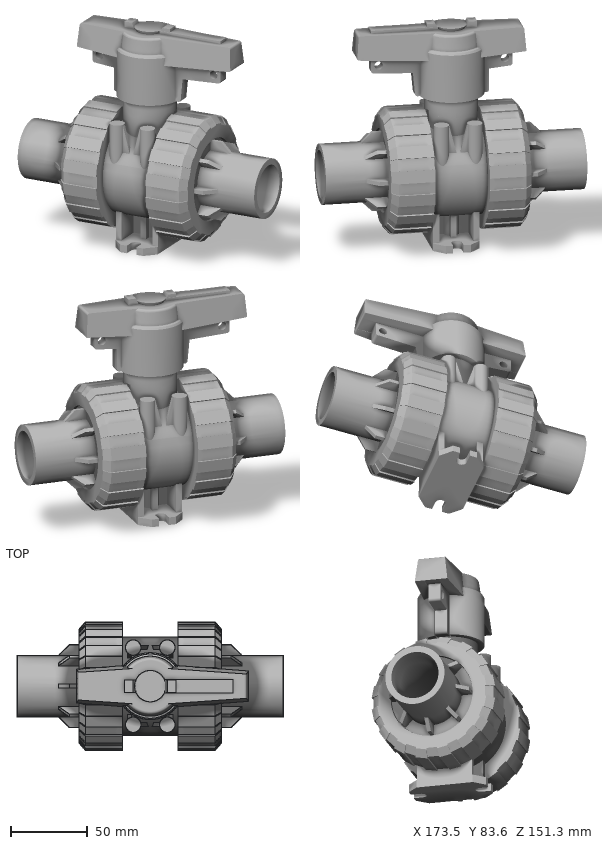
import cadquery as cq
import math


LENGTH = 173.5
HALF_LENGTH = LENGTH / 2
BORE_RADIUS = 16.0

BARREL_RADIUS = 32.1
BARREL_HALF_LENGTH = 34.7
NECK_RADIUS = 17.7
NECK_HALF_WIDTH = 16.1
RAMP_BOTTOM = 39.0
RAMP_TOP = 42.2
RAMP_FLAT = 7.0
RAMP_END = 16.3
QUADRANTS = (0, 90, 180, 270)

PILLAR_RADIUS = 5.0
PILLAR_X = 11.1
PILLAR_Y = 25.2
PILLAR_TOP = 37.5
GUSSET_THICKNESS = 2.6
GUSSET_TOP = 36.6
GUSSET_BOTTOM = 16.5
GUSSET_RUN = 10.2
GUSSET_SIDE_OFFSET = 2.5
GUSSET_SIDE_LAP = 1.0

FOOT_BOTTOM = -51.0
FOOT_THICKNESS = 5.2
FOOT_TOP = FOOT_BOTTOM + FOOT_THICKNESS
FOOT_HALF_LENGTH = 15.5
FOOT_HALF_WIDTH = 26.2
FOOT_CORNER = 7.1
FOOT_SLOT_WIDTH = 7.0
FOOT_SLOT_DEPTH = 9.5
FOOT_WALL_THICKNESS = 4.2
FOOT_WALL_HALF_WIDTH = 18.5
FOOT_WEB_THICKNESS = 2.6
FOOT_RIB_THICKNESS = 3.8
FOOT_RIB_HALF_WIDTH = 9.5
FOOT_BOSS_RADIUS = 5.4

NUT_SPAN = 83.6
NUT_INNER_X = 18.0
NUT_OUTER_X = 46.5
NUT_TAPER_LENGTH = 4.2
NUT_TAPER_SCALE = 0.885
NUT_LOBES = 16
NUT_STEP_ANGLE = 180 / NUT_LOBES
NUT_LOBE_RADIUS = NUT_SPAN / 2 / math.cos(math.radians(NUT_STEP_ANGLE / 2))
NUT_RECESS_RADIUS = 41.0
NUT_HOLE_RADIUS = 27.8

PIPE_DIAMETER = 40.0
PIPE_RADIUS = PIPE_DIAMETER / 2
FLANGE_OUTER_X = 39.9
COLLAR_RADIUS = 27.4
COLLAR_OUTER_X = 45.0
RIB_COUNT = 8
RIB_RADIUS = 27.0
RIB_THICKNESS = 2.6
RIB_TOE_X = 59.9
RIB_SHOULDER_X = 52.7

HUB_RADIUS = 21.9
HUB_BOTTOM = 51.0
HUB_RIM = 83.5
HUB_CHAMFER_RADIUS = 21.0
HUB_CHAMFER_TOP = 84.8
CAP_RADIUS = 19.6
CAP_BASE = 85.4
CAP_DRAFT_ANGLE = 8
CAP_FILLET = 1.7
HUB_CORE_TOP = 67.1

GRIP_TOP = 96.0
GRIP_END_BOTTOM = 80.0
GRIP_MIDDLE_BOTTOM = 77.2
GRIP_HALF_WIDTH = 12.3
GRIP_TAPER = 0.07
GRIP_DRAFT = 0.13
GRIP_SHORT_END = -48.0
GRIP_LONG_END = 64.0
GRIP_END_LEAN = 1.2
GRIP_END_FILLET = 1.5
GRIP_LONG_END_BOTTOM_FILLET = 1.0

BLADE_THICKNESS = 8.2
BLADE_SLOT_WIDTH = 10.0
BLADE_TOP = 81.5
BLADE_SHORT_END = -40.0
BLADE_LONG_END = 53.8
BLADE_END_BOTTOM = 68.5
BLADE_CORNER_FILLET = 1.7
BLADE_HOLE_RADIUS = 2.8
BLADE_HOLE_Z = 73.7
BLADE_HOLE_INSET = 5.0
BLADE_STEM_HALF_LENGTH = 24.5
BLADE_STEM_LEAN = 1.5

MARKER_DISC_TOP = 98.0
MARKER_DISC_RADIUS = 10.2
MARKER_DISC_BASE_RADIUS = 9.2
MARKER_LUG_TOP = 100.3
MARKER_LUG_WIDTH = 8.2
MARKER_LUG_OUTER = 16.7
MARKER_LUG_INNER_TOP = 11.1
MARKER_LUG_INNER_BASE = 9.4
MARKER_BAR_WIDTH = 9.0
MARKER_BAR_END = 54.0


def rod(radius, start, end):
    """Cylinder about the Z axis from Z = start to Z = end."""
    return cq.Workplane("XY", origin=(0, 0, start)).circle(radius).extrude(end - start)


def pipe_rod(radius, start, end):
    """Cylinder along the pipe axis from X = start to X = end."""
    return cq.Workplane("YZ", origin=(start, 0, 0)).circle(radius).extrude(end - start)


def block(x_range, y_range, z_range):
    """Box between the given limits."""
    sizes = [high - low for low, high in (x_range, y_range, z_range)]
    corner = (x_range[0], y_range[0], z_range[0])
    return cq.Workplane("XY").box(*sizes, centered=False).translate(corner)


def upright_plate(outline, thickness):
    """Plate with an XZ outline, centred on Y = 0."""
    return cq.Workplane("XZ").polyline(outline).close().extrude(thickness / 2, both=True)


def turned(outline):
    """Solid of revolution about Z; the outline lists radii and heights."""
    return cq.Workplane("XZ").polyline(outline).close().revolve(360, (0, 0, 0), (0, 1, 0))


def on_other_side(body):
    """Copy of a body mirrored to the opposite X side."""
    return body.mirror("YZ")



def stop_ramps():
    """Four equal ramps that step up at each axis and fall over a quarter turn."""
    profile = [
        (0, RAMP_BOTTOM),
        (0, RAMP_TOP),
        (RAMP_FLAT, RAMP_TOP),
        (RAMP_END, RAMP_BOTTOM),
    ]
    wedge = cq.Workplane("XZ").polyline(profile).close().extrude(NECK_RADIUS)
    wedge = wedge.intersect(rod(NECK_RADIUS, RAMP_BOTTOM, RAMP_TOP))
    ramps = wedge
    for angle in QUADRANTS[1:]:
        ramps = ramps.union(wedge.rotate((0, 0, 0), (0, 0, 1), angle))
    return ramps


def neck():
    """Neck under the handle with a flat toward each nut."""
    flats = block(
        (-NECK_HALF_WIDTH, NECK_HALF_WIDTH), (-NECK_RADIUS, NECK_RADIUS), (0, RAMP_TOP)
    )
    column = rod(NECK_RADIUS, 0, RAMP_BOTTOM).intersect(flats)
    return column.union(stop_ramps().intersect(flats))


def pillar_with_gussets():
    """Pillar in the +X, +Y corner, with one gusset toward each axis."""
    pillar = rod(PILLAR_RADIUS, 0, PILLAR_TOP)
    gusset_outline = [
        (0, GUSSET_BOTTOM),
        (-GUSSET_RUN, GUSSET_BOTTOM),
        (-PILLAR_RADIUS, GUSSET_TOP),
        (0, GUSSET_TOP),
    ]
    gusset = upright_plate(gusset_outline, GUSSET_THICKNESS)
    side_gusset = gusset.rotate((0, 0, 0), (0, 0, 1), 90)
    side_gusset = side_gusset.translate((GUSSET_SIDE_OFFSET, GUSSET_SIDE_LAP, 0))
    return pillar.union(gusset).union(side_gusset).translate((PILLAR_X, PILLAR_Y, 0))


def pillars():
    corner = pillar_with_gussets()
    pair = corner.union(on_other_side(corner))
    return pair.union(pair.mirror("XZ"))


def foot():
    """Slotted base plate joined to the barrel by end walls, a web, a rib and a boss."""
    upright = (FOOT_BOTTOM, -NECK_RADIUS)
    base = block(
        (-FOOT_HALF_LENGTH, FOOT_HALF_LENGTH),
        (-FOOT_HALF_WIDTH, FOOT_HALF_WIDTH),
        (FOOT_BOTTOM, FOOT_TOP),
    ).edges("|Z").chamfer(FOOT_CORNER)
    walls = block(
        (-FOOT_HALF_LENGTH, FOOT_HALF_LENGTH),
        (-FOOT_WALL_HALF_WIDTH, FOOT_WALL_HALF_WIDTH),
        upright,
    )
    wall_inner_x = FOOT_HALF_LENGTH - FOOT_WALL_THICKNESS
    walls = walls.cut(block((-wall_inner_x, wall_inner_x), (-FOOT_HALF_WIDTH, FOOT_HALF_WIDTH), upright))
    web = block(
        (-FOOT_HALF_LENGTH, FOOT_HALF_LENGTH),
        (-FOOT_WEB_THICKNESS / 2, FOOT_WEB_THICKNESS / 2),
        upright,
    )
    rib = block(
        (-FOOT_RIB_THICKNESS / 2, FOOT_RIB_THICKNESS / 2),
        (-FOOT_RIB_HALF_WIDTH, FOOT_RIB_HALF_WIDTH),
        upright,
    )
    boss = rod(FOOT_BOSS_RADIUS, *upright)
    slots = (
        cq.Workplane("XY", origin=(0, 0, FOOT_BOTTOM))
        .pushPoints([(0, -FOOT_HALF_WIDTH), (0, FOOT_HALF_WIDTH)])
        .slot2D(2 * FOOT_SLOT_DEPTH, FOOT_SLOT_WIDTH, 90)
        .extrude(FOOT_THICKNESS)
    )
    return base.cut(slots).union(walls).union(web).union(rib).union(boss)


def make_housing():
    barrel = pipe_rod(BARREL_RADIUS, -BARREL_HALF_LENGTH, BARREL_HALF_LENGTH)
    body = barrel.union(neck()).union(pillars()).union(foot())
    return body.cut(pipe_rod(BORE_RADIUS, -BARREL_HALF_LENGTH, BARREL_HALF_LENGTH))



def nut_outline():
    """Corners of the nut: straight lobes and recesses alternate around it."""
    corners = []
    for step in range(2 * NUT_LOBES):
        radius = NUT_RECESS_RADIUS if step % 2 == 0 else NUT_LOBE_RADIUS
        for side in (-0.5, 0.5):
            angle = math.radians((step + side) * NUT_STEP_ANGLE)
            corners.append((radius * math.cos(angle), radius * math.sin(angle)))
    return corners


def make_nut():
    """Nut on the +X side; its outer end tapers and its lip holds the pipe flange."""
    outline = nut_outline()
    small_outline = [(NUT_TAPER_SCALE * y, NUT_TAPER_SCALE * z) for y, z in outline]
    taper_x = NUT_OUTER_X - NUT_TAPER_LENGTH
    grip = (
        cq.Workplane("YZ", origin=(NUT_INNER_X, 0, 0))
        .polyline(outline).close()
        .extrude(taper_x - NUT_INNER_X)
    )
    taper = (
        cq.Workplane("YZ", origin=(taper_x, 0, 0))
        .polyline(outline).close()
        .workplane(offset=NUT_TAPER_LENGTH)
        .polyline(small_outline).close()
        .loft(ruled=True)
    )
    cavity = pipe_rod(BARREL_RADIUS, NUT_INNER_X, FLANGE_OUTER_X)
    hole = pipe_rod(NUT_HOLE_RADIUS, FLANGE_OUTER_X, NUT_OUTER_X)
    return grip.union(taper).cut(cavity).cut(hole)



def make_pipe_end():
    """Flanged pipe on the +X side with ribs between collar and pipe."""
    flange = pipe_rod(BARREL_RADIUS, BARREL_HALF_LENGTH, FLANGE_OUTER_X)
    collar = pipe_rod(COLLAR_RADIUS, FLANGE_OUTER_X, COLLAR_OUTER_X)
    pipe = pipe_rod(PIPE_RADIUS, FLANGE_OUTER_X, HALF_LENGTH)
    body = flange.union(collar).union(pipe)
    rib_outline = [
        (FLANGE_OUTER_X, BORE_RADIUS),
        (FLANGE_OUTER_X, RIB_RADIUS),
        (RIB_SHOULDER_X, RIB_RADIUS),
        (RIB_TOE_X, PIPE_RADIUS),
        (RIB_TOE_X, BORE_RADIUS),
    ]
    rib = upright_plate(rib_outline, RIB_THICKNESS)
    for index in range(RIB_COUNT):
        body = body.union(rib.rotate((0, 0, 0), (1, 0, 0), index * 360 / RIB_COUNT))
    return body.cut(pipe_rod(BORE_RADIUS, BARREL_HALF_LENGTH, HALF_LENGTH))



def hub():
    """Round hub with a chamfered rim and a tapered, rounded cap."""
    drum_outline = [
        (0, HUB_BOTTOM),
        (HUB_RADIUS, HUB_BOTTOM),
        (HUB_RADIUS, HUB_RIM),
        (HUB_CHAMFER_RADIUS, HUB_CHAMFER_TOP),
        (CAP_RADIUS, CAP_BASE),
        (0, CAP_BASE),
    ]
    drum = turned(drum_outline)
    cap = (
        cq.Workplane("XY", origin=(0, 0, CAP_BASE))
        .circle(CAP_RADIUS)
        .extrude(GRIP_TOP - CAP_BASE, taper=CAP_DRAFT_ANGLE)
        .faces(">Z").edges().fillet(CAP_FILLET)
    )
    return drum.union(cap)


def core():
    """Core of the hub; its skirt fits the stop ramps."""
    return rod(NECK_RADIUS, RAMP_BOTTOM, HUB_CORE_TOP).cut(stop_ramps())


def grip_section(x_bottom, x_top, bottom):
    """Corners of a trapezoid across the grip, leaning from x_bottom to x_top."""
    top_half_width = GRIP_HALF_WIDTH - GRIP_TAPER * abs(x_top)
    bottom_half_width = GRIP_HALF_WIDTH - GRIP_TAPER * abs(x_bottom) + GRIP_DRAFT * (GRIP_TOP - bottom)
    return [
        (x_bottom, -bottom_half_width, bottom),
        (x_bottom, bottom_half_width, bottom),
        (x_top, top_half_width, GRIP_TOP),
        (x_top, -top_half_width, GRIP_TOP),
    ]


def flat_face(corners):
    points = [cq.Vector(*corner) for corner in corners]
    return cq.Face.makeFromWires(cq.Wire.makePolygon(points, close=True))


def grip_arm(end_x, end_lean, end_side):
    """Half of the grip: flat faces from the hub axis to its end."""
    middle = grip_section(0, 0, GRIP_MIDDLE_BOTTOM)
    end = grip_section(end_x, end_x + end_lean, GRIP_END_BOTTOM)
    faces = [flat_face(middle), flat_face(end)]
    for index in range(len(middle)):
        faces.append(flat_face([middle[index - 1], middle[index], end[index], end[index - 1]]))
    arm = cq.Workplane("XY").add(cq.Solid.makeSolid(cq.Shell.makeShell(faces)).fix())
    return arm.faces(">Z").edges(end_side).fillet(GRIP_END_FILLET)


def grip():
    short_arm = grip_arm(GRIP_SHORT_END, GRIP_END_LEAN, "<X")
    long_arm = grip_arm(GRIP_LONG_END, -GRIP_END_LEAN, ">X")
    long_arm = long_arm.faces(">X").edges("<Z").fillet(GRIP_LONG_END_BOTTOM_FILLET)
    return short_arm.union(long_arm)


def blade_slot():
    """Slot along the hub and the grip that leaves a gap on both sides of the blade."""
    return block(
        (GRIP_SHORT_END, GRIP_LONG_END),
        (-BLADE_SLOT_WIDTH / 2, BLADE_SLOT_WIDTH / 2),
        (HUB_BOTTOM, GRIP_END_BOTTOM),
    )


def blade():
    """Upright blade under the grip, with a stem in the hub slot and a hole at each end."""
    outline = [
        (BLADE_SHORT_END, BLADE_TOP),
        (BLADE_SHORT_END, BLADE_END_BOTTOM),
        (-BLADE_STEM_HALF_LENGTH, HUB_CORE_TOP),
        (-BLADE_STEM_HALF_LENGTH, HUB_BOTTOM),
        (BLADE_STEM_HALF_LENGTH, HUB_BOTTOM),
        (BLADE_STEM_HALF_LENGTH + BLADE_STEM_LEAN, HUB_CORE_TOP),
        (BLADE_LONG_END, BLADE_END_BOTTOM),
        (BLADE_LONG_END, BLADE_TOP),
    ]
    plate = upright_plate(outline, BLADE_THICKNESS)
    rounded_corners = [
        (BLADE_SHORT_END, BLADE_END_BOTTOM),
        (-BLADE_STEM_HALF_LENGTH, HUB_BOTTOM),
        (BLADE_STEM_HALF_LENGTH, HUB_BOTTOM),
        (BLADE_LONG_END, BLADE_END_BOTTOM),
    ]
    for x, z in rounded_corners:
        corner = cq.selectors.NearestToPointSelector((x, 0, z))
        plate = plate.edges("|Y").edges(corner).fillet(BLADE_CORNER_FILLET)
    hole_places = [
        (BLADE_SHORT_END + BLADE_HOLE_INSET, BLADE_HOLE_Z),
        (BLADE_LONG_END - BLADE_HOLE_INSET, BLADE_HOLE_Z),
    ]
    holes = (
        cq.Workplane("XZ")
        .pushPoints(hole_places)
        .circle(BLADE_HOLE_RADIUS)
        .extrude(BLADE_THICKNESS, both=True)
    )
    return plate.cut(holes)


def marker():
    """Flared disc, two lugs and a pointer bar on top of the grip."""
    disc_outline = [
        (0, GRIP_TOP),
        (MARKER_DISC_BASE_RADIUS, GRIP_TOP),
        (MARKER_DISC_RADIUS, MARKER_DISC_TOP),
        (0, MARKER_DISC_TOP),
    ]
    disc = turned(disc_outline)
    lug_outline = [
        (MARKER_LUG_INNER_BASE, GRIP_TOP),
        (MARKER_LUG_OUTER, GRIP_TOP),
        (MARKER_LUG_OUTER, MARKER_LUG_TOP),
        (MARKER_LUG_INNER_TOP, MARKER_LUG_TOP),
    ]
    lug = upright_plate(lug_outline, MARKER_LUG_WIDTH)
    bar = block(
        (MARKER_LUG_INNER_BASE, MARKER_BAR_END),
        (-MARKER_BAR_WIDTH / 2, MARKER_BAR_WIDTH / 2),
        (GRIP_TOP, MARKER_DISC_TOP),
    )
    return disc.union(lug).union(on_other_side(lug)).union(bar)


def make_handle():
    body = hub().union(grip()).cut(blade_slot())
    return body.union(core()).union(blade()).union(marker())


housing = make_housing()
nut = make_nut()
pipe_end = make_pipe_end()
handle = make_handle()

nuts = [nut, on_other_side(nut)]
pipe_ends = [pipe_end, on_other_side(pipe_end)]

result = cq.Compound.makeCompound(
    [housing.val(), *[n.val() for n in nuts], *[p.val() for p in pipe_ends], handle.val()]
)